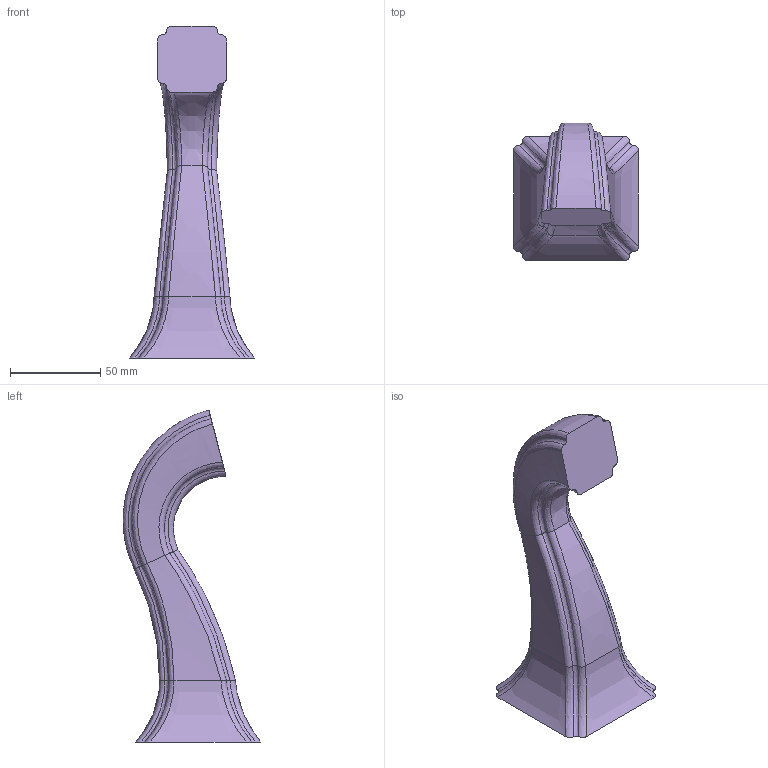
import cadquery as cq
import math


STEP_DEPTH = 5.0
CONVEX_RADIUS = 3.0
CONCAVE_RADIUS = STEP_DEPTH - CONVEX_RADIUS

BASE_WIDTH = 69.09
ANKLE_WIDTH = 42.0
WAIST_WIDTH = 27.3
TIP_WIDTH = 38.3

ANKLE_HEIGHT = 34.0
BASE_BACK = (BASE_WIDTH / 2, 0.0)
BASE_FRONT = (-BASE_WIDTH / 2, 0.0)
ANKLE_BACK = (21.5, ANKLE_HEIGHT)
ANKLE_FRONT = (-20.5, ANKLE_HEIGHT)
WAIST_BACK = (35.5, 95.6)
WAIST_FRONT = (11.3, 106.5)
TIP_BACK = (-5.8, 183.75)
TIP_FRONT = (-15.3, 147.1)

FOOT_BACK_RADIUS = 49.4
FOOT_FRONT_RADIUS = -59.4
FOOT_SIDE_RADIUS = 52.7
SHANK_BACK_RADIUS = 137.0
SHANK_FRONT_RADIUS = 198.0
NECK_BACK_RADIUS = -62.87
NECK_FRONT_RADIUS = -28.8

NECK_FLARE_POWER = 1.7
SECTIONS_PER_PART = 7


def arc_point(start, end, radius, t):
    """Point at fraction t along the minor arc of signed radius from start to end."""
    chord_y = end[0] - start[0]
    chord_z = end[1] - start[1]
    chord = math.hypot(chord_y, chord_z)
    half_angle = math.asin(chord / 2 / radius)
    reach = 2 * radius * math.sin(half_angle * t)
    turn = half_angle * (1 - t)
    along = reach * math.cos(turn) / chord
    across = reach * math.sin(turn) / chord
    return (
        start[0] + chord_y * along - chord_z * across,
        start[1] + chord_z * along + chord_y * across,
    )


def stepped_corner(sketch, corner, u, v):
    """Rounded step at a corner; u and v point inward along the arriving and leaving edges."""

    def at(distance_u, distance_v):
        return (
            corner[0] + u[0] * distance_u + v[0] * distance_v,
            corner[1] + u[1] * distance_u + v[1] * distance_v,
        )

    convex_mid = CONVEX_RADIUS * (1 - math.sqrt(0.5))
    concave_mid = CONVEX_RADIUS + CONCAVE_RADIUS * math.sqrt(0.5)
    outer = STEP_DEPTH + CONVEX_RADIUS
    return (
        sketch.lineTo(*at(outer, 0))
        .threePointArc(at(STEP_DEPTH + convex_mid, convex_mid), at(STEP_DEPTH, CONVEX_RADIUS))
        .threePointArc(at(concave_mid, concave_mid), at(CONVEX_RADIUS, STEP_DEPTH))
        .threePointArc(at(convex_mid, STEP_DEPTH + convex_mid), at(0, outer))
    )


def section_wire(back, front, width):
    """Stepped rectangle spanning from the front edge to the back edge."""
    depth_y = back[0] - front[0]
    depth_z = back[1] - front[1]
    half_depth = math.hypot(depth_y, depth_z) / 2
    half_width = width / 2
    plane = cq.Plane(
        origin=(0, (back[0] + front[0]) / 2, (back[1] + front[1]) / 2),
        xDir=(1, 0, 0),
        normal=(0, -depth_z, depth_y),
    )
    start_x = STEP_DEPTH + CONVEX_RADIUS - half_width
    sketch = cq.Workplane(plane).moveTo(start_x, -half_depth)
    sketch = stepped_corner(sketch, (half_width, -half_depth), (-1, 0), (0, 1))
    sketch = stepped_corner(sketch, (half_width, half_depth), (0, -1), (-1, 0))
    sketch = stepped_corner(sketch, (-half_width, half_depth), (1, 0), (0, -1))
    sketch = stepped_corner(sketch, (-half_width, -half_depth), (0, 1), (1, 0))
    return sketch.close().val()


def leg_part(back_arc, front_arc, width_at):
    """Smooth loft whose sections follow a back arc and a front arc."""
    wires = []
    for i in range(SECTIONS_PER_PART):
        t = i / (SECTIONS_PER_PART - 1)
        wires.append(section_wire(arc_point(*back_arc, t), arc_point(*front_arc, t), width_at(t)))
    return cq.Workplane(cq.Solid.makeLoft(wires))


def foot_width(t):
    base_side = (BASE_WIDTH / 2, 0.0)
    ankle_side = (ANKLE_WIDTH / 2, ANKLE_HEIGHT)
    return 2 * arc_point(base_side, ankle_side, FOOT_SIDE_RADIUS, t)[0]


def shank_width(t):
    return ANKLE_WIDTH + (WAIST_WIDTH - ANKLE_WIDTH) * t


def neck_width(t):
    return WAIST_WIDTH + (TIP_WIDTH - WAIST_WIDTH) * t**NECK_FLARE_POWER


foot = leg_part(
    (BASE_BACK, ANKLE_BACK, FOOT_BACK_RADIUS),
    (BASE_FRONT, ANKLE_FRONT, FOOT_FRONT_RADIUS),
    foot_width,
)
shank = leg_part(
    (ANKLE_BACK, WAIST_BACK, SHANK_BACK_RADIUS),
    (ANKLE_FRONT, WAIST_FRONT, SHANK_FRONT_RADIUS),
    shank_width,
)
neck = leg_part(
    (WAIST_BACK, TIP_BACK, NECK_BACK_RADIUS),
    (WAIST_FRONT, TIP_FRONT, NECK_FRONT_RADIUS),
    neck_width,
)

result = foot.union(shank).union(neck)